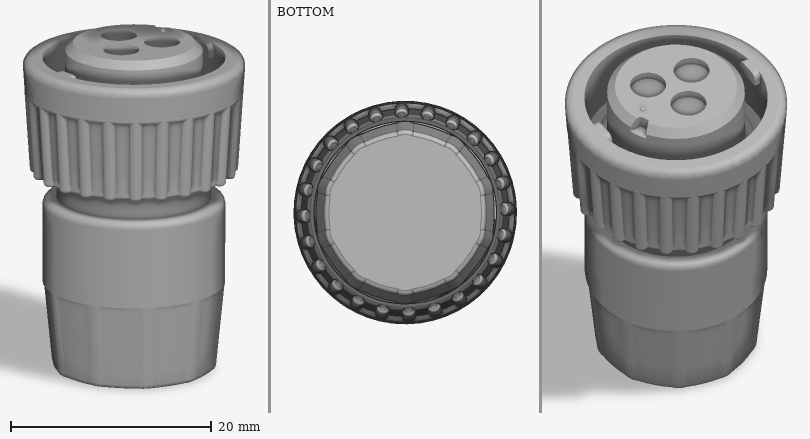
import cadquery as cq
import math

nut_top = 8.8
body_top = 17.75
ring_bottom = 20.35
ring_top = 32.25
core_top = 33.8
bead_top = 34.05

first_angle = -90
nut_corners = 10
nut_top_radius = 9.12
nut_bottom_radius = 8.25
nut_corner_half_width = 0.8
nut_corner_height = 0.17
nut_flank_bulge = 0.15
nut_bottom_round = 0.48

body_radius = 9.12
body_round = 0.7
neck_radius = 7.75

ring_turn = -24.5
ring_diameter = 22.23
ring_radius = ring_diameter / 2
ring_taper = math.radians(3.8)
ring_top_round = 0.78
ring_bottom_round = 0.35
collar_bottom = 28.97
bore_radius = 9.15
bore_floor = 26.0
rib_count = 24
rib_radius = 0.68
rib_height = 0.58

tab_count = 2
tab_direction = ring_turn + 90
tab_width = 2.85
tab_inner_distance = 8.37
tab_height = 1.35
tab_end_round = 0.68

core_radius = 6.88
core_chamfer = 0.78
seal_section_radius = 0.58
socket_count = 3
socket_radius = 1.8
socket_circle_radius = 2.8
socket_depth = 0.85
keyway_depth = 1.35
keyway_bottom_y = 5.65
keyway_knee_y = 5.92
keyway_bottom_half_width = 0.45
keyway_knee_half_width = 0.6
keyway_mouth_half_width = 1.0

bead_radius = 0.35
bead_x = 0.9
bead_y = 4.63


def polar(radius, angle):
    """Point at the given radius and angle (degrees) from +X."""
    turn = math.radians(angle)
    return (radius * math.cos(turn), radius * math.sin(turn))


def nut_outline(workplane, tip_radius):
    """Closed ring of corner arcs and slightly bulged flanks."""
    pitch = 360 / nut_corners
    edge_across = tip_radius - nut_corner_height
    edge_radius = math.hypot(edge_across, nut_corner_half_width)
    edge_angle = math.degrees(math.atan2(nut_corner_half_width, edge_across))
    flank_radius = edge_radius * math.cos(math.radians(pitch / 2 - edge_angle)) + nut_flank_bulge
    outline = workplane.moveTo(*polar(edge_radius, first_angle - edge_angle))
    for corner in range(nut_corners):
        middle = first_angle + corner * pitch
        outline = outline.threePointArc(polar(tip_radius, middle), polar(edge_radius, middle + edge_angle))
        outline = outline.threePointArc(
            polar(flank_radius, middle + pitch / 2), polar(edge_radius, middle + pitch - edge_angle)
        )
    return outline.close()


def make_nut():
    lower = nut_outline(cq.Workplane("XY"), nut_bottom_radius)
    nut = nut_outline(lower.workplane(offset=nut_top), nut_top_radius).loft(ruled=True)
    return nut.faces("<Z").edges().fillet(nut_bottom_round)


def make_body():
    body = cq.Workplane("XY").workplane(offset=nut_top).circle(body_radius).extrude(body_top - nut_top)
    body = body.faces(">Z").edges().fillet(body_round)
    neck = cq.Workplane("XY").workplane(offset=body_top).circle(neck_radius).extrude(bore_floor - body_top)
    return body.union(neck)


def ring_cone_radius(level):
    """Radius of the ring's outer cone, which also carries the rib crests."""
    return ring_radius - (ring_top - ring_top_round - level) * math.tan(ring_taper)


def make_rib():
    """Round rib at +X, leaning with the cone and ending inside the collar."""
    length = (collar_bottom - ring_bottom) / math.cos(ring_taper)
    rib = cq.Workplane("XY").circle(rib_radius).extrude(length)
    rib = rib.faces("<Z").edges().fillet(ring_bottom_round)
    rib = rib.rotate((0, 0, 0), (0, 1, 0), math.degrees(ring_taper))
    return rib.translate((ring_cone_radius(ring_bottom) - rib_radius, 0, ring_bottom))


def make_tab():
    """Locking tab on the +X side of the bore, its top ends rounded."""
    tab_length = (bore_radius + ring_radius) / 2 - tab_inner_distance
    tab = cq.Workplane("XY").box(tab_length, tab_width, tab_height, centered=(False, True, False))
    tab = tab.faces(">Z").edges("|X").fillet(tab_end_round)
    return tab.translate((tab_inner_distance, 0, ring_top - tab_height))


def make_ring():
    valley_top = ring_cone_radius(collar_bottom) - rib_height
    valley_bottom = ring_cone_radius(ring_bottom) - rib_height
    round_start = ring_cone_radius(collar_bottom)
    arc_reach = rib_height * math.sqrt(0.5)
    ring = (
        cq.Workplane("XZ")
        .moveTo(0, ring_bottom)
        .lineTo(valley_bottom, ring_bottom)
        .lineTo(valley_top, collar_bottom - rib_height)
        .threePointArc(
            (valley_top + arc_reach, collar_bottom - arc_reach),
            (round_start, collar_bottom),
        )
        .lineTo(ring_radius, ring_top - ring_top_round)
        .lineTo(ring_radius, ring_top)
        .lineTo(0, ring_top)
        .close()
        .revolve(360, (0, 0, 0), (0, 1, 0))
    )
    ring = ring.faces(">Z").edges().fillet(ring_top_round)
    ring = ring.faces("<Z").edges().fillet(ring_bottom_round)
    bore = cq.Workplane("XY").workplane(offset=bore_floor).circle(bore_radius).extrude(ring_top - bore_floor)
    ring = ring.cut(bore)

    rib_pitch = 360 / rib_count
    for index in range(rib_count):
        angle = ring_turn + (index + 0.5) * rib_pitch
        ring = ring.union(make_rib().rotate((0, 0, 0), (0, 0, 1), angle))
    for index in range(tab_count):
        angle = tab_direction + index * 360 / tab_count
        ring = ring.union(make_tab().rotate((0, 0, 0), (0, 0, 1), angle))
    return ring


def make_core():
    core = cq.Workplane("XY").workplane(offset=bore_floor).circle(core_radius).extrude(core_top - bore_floor)
    core = core.faces(">Z").edges().chamfer(core_chamfer)

    sockets = (
        cq.Workplane("XY")
        .workplane(offset=core_top - socket_depth)
        .polarArray(socket_circle_radius, first_angle, 360, socket_count)
        .circle(socket_radius)
        .extrude(socket_depth)
    )
    keyway_side = [
        (keyway_bottom_half_width, keyway_bottom_y),
        (keyway_knee_half_width, keyway_knee_y),
        (keyway_mouth_half_width, core_radius),
    ]
    keyway_outline = keyway_side + [(-x, y) for x, y in reversed(keyway_side)]
    keyway = (
        cq.Workplane("XY")
        .workplane(offset=core_top - keyway_depth)
        .polyline(keyway_outline)
        .close()
        .extrude(keyway_depth)
    )
    bead = cq.Workplane("XY").sphere(bead_radius).translate((bead_x, bead_y, bead_top - bead_radius))
    return core.cut(sockets).cut(keyway).union(bead)


def make_seal():
    """O-ring hugging the core, half sunk in the bore floor."""
    seal_radius = core_radius + seal_section_radius
    return (
        cq.Workplane("XZ")
        .center(seal_radius, bore_floor)
        .circle(seal_section_radius)
        .revolve(360, (-seal_radius, 0, 0), (-seal_radius, 1, 0))
    )


result = make_nut().union(make_body()).union(make_ring()).union(make_core()).union(make_seal())